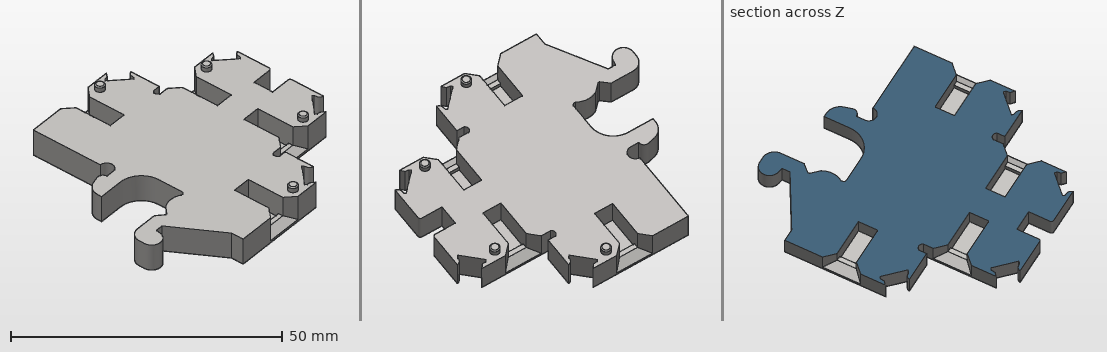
import cadquery as cq
import math


plate_thickness = 6.0
lower_half_width = 25.0
tier_rise = 17.0
upper_top = 41.5
lower_top = upper_top - tier_rise
upper_half_width = 13.5

top_slot_half_width = 2.2
top_slot_depth = 5.0
top_slot_rounding = 0.5

relief_width = 1.5
relief_straight_depth = 1.6
relief_depth = 2.1

lip_tip_inset = 3.25
lip_arc_mid = (3.5, -0.55)
lip_arc_end = (3.9, -0.85)
lip_root = (4.75, -1.0)
ramp_top = (5.0, -1.3)
ramp_bottom = (1.25, -5.05)
prong_base = (0.9, -4.7)
prong_bend = (0.8, -3.9)
prong_tip = -3.2

pin_radius = 1.0
pin_height = 1.25
pin_chamfer = 0.25
pin_inset = 2.0
pin_drop = 7.5

entry_drop = 12.5
funnel_depth = 2.0
funnel_half_width = 4.0
funnel_outer_floor = 0.5
slot_half_width = 2.0
sill_floor = 1.6
sill_end = 3.0
slot_floor = 0.75
upper_slot_length = 10.35
lower_slot_length = 10.2

recess_left = -3.0
recess_right = 8.1
recess_top = 3.5
recess_radius = 5.0
recess_corner_radius = 0.5

relief_hole_radius = 1.5
left_foot_outer = -6.0
left_foot_bottom = -7.0
heel_top = -1.75
heel_radius = 1.2
toe_radius = 3.0
foot_taper = math.radians(15)

right_foot_left = 8.0
latch_lead_bottom = 2.7
latch_bulge = (7.4, 0.5)
latch_bulge_end = (7.9, -1.6)
latch_groove_x = 9.45
latch_groove_top = -3.2
latch_groove_bottom = -3.55
right_foot_shoulder = -5.1
right_foot_bottom = -12.5
hook_corner_radius = 2.5
hook_radius = 2.1
hook_centre_x = 11.7
hook_neck_x = 11.0
hook_tilt = math.radians(10)
brace_bottom = -6.5
brace_angle = math.radians(30)


def on_circle(centre, radius, angle):
    """Point on a circle, with the angle in radians from +X."""
    return (centre[0] + radius * math.cos(angle), centre[1] + radius * math.sin(angle))


def both_sides(solid):
    """The solid together with its mirror image across X = 0."""
    return solid.union(solid.mirror("YZ"))


def trace_left_foot(outline):
    """Continue the outline from the base edge round the left foot to the rail recess."""
    hole_x = left_foot_outer - relief_hole_radius
    heel = (left_foot_outer, heel_top - heel_radius)
    heel_end = on_circle(heel, heel_radius, math.pi + foot_taper)
    toe_y = left_foot_bottom + toe_radius
    taper_end_y = toe_y - toe_radius * math.sin(foot_taper)
    taper_end_x = heel_end[0] + (heel_end[1] - taper_end_y) * math.tan(foot_taper)
    toe = (taper_end_x + toe_radius * math.cos(foot_taper), toe_y)
    return (
        outline.lineTo(hole_x - relief_hole_radius, 0)
        .threePointArc((hole_x, relief_hole_radius), (left_foot_outer, 0))
        .lineTo(left_foot_outer, heel_top)
        .threePointArc(on_circle(heel, heel_radius, math.radians(135)), heel_end)
        .lineTo(taper_end_x, taper_end_y)
        .threePointArc(on_circle(toe, toe_radius, math.radians(230)), (toe[0], left_foot_bottom))
        .lineTo(recess_left, left_foot_bottom)
    )


def trace_recess(outline):
    """Continue the outline through the rail recess."""
    centre = (recess_left + recess_radius, recess_top - recess_radius)
    corner = (recess_right - recess_corner_radius, recess_top - recess_corner_radius)
    return (
        outline.lineTo(recess_left, centre[1])
        .threePointArc(on_circle(centre, recess_radius, math.radians(135)), (centre[0], recess_top))
        .lineTo(corner[0], recess_top)
        .threePointArc(
            on_circle(corner, recess_corner_radius, math.radians(45)),
            (recess_right, corner[1]),
        )
    )


def trace_right_foot(outline):
    """Continue the outline round the latching foot, its hook and the sloping brace."""
    corner = (right_foot_left + hook_corner_radius, right_foot_bottom + hook_corner_radius)
    hook = (hook_centre_x, right_foot_bottom + hook_radius)
    hook_end = on_circle(hook, hook_radius, math.pi / 2 - hook_tilt)
    neck_y = hook_end[1] + (hook_end[0] - hook_neck_x) * math.tan(hook_tilt)
    brace_end_x = hook_neck_x - brace_bottom / math.tan(brace_angle)
    return (
        outline.lineTo(recess_right, latch_lead_bottom)
        .threePointArc(latch_bulge, latch_bulge_end)
        .lineTo(latch_groove_x, latch_groove_top)
        .lineTo(latch_groove_x, latch_groove_bottom)
        .lineTo(right_foot_left, right_foot_shoulder)
        .lineTo(right_foot_left, corner[1])
        .threePointArc(
            on_circle(corner, hook_corner_radius, math.radians(225)),
            (corner[0], right_foot_bottom),
        )
        .lineTo(hook[0], right_foot_bottom)
        .threePointArc(on_circle(hook, hook_radius, 0), hook_end)
        .lineTo(hook_neck_x, neck_y)
        .lineTo(hook_neck_x, brace_bottom)
        .lineTo(brace_end_x, 0)
    )


def make_plate():
    """Lower tier with its feet, joined to the narrower upper tier."""
    outline = cq.Workplane("XY").moveTo(-lower_half_width, 0)
    outline = trace_left_foot(outline)
    outline = trace_recess(outline)
    outline = trace_right_foot(outline)
    lower_tier = (
        outline.lineTo(lower_half_width, 0)
        .lineTo(lower_half_width, lower_top)
        .lineTo(-lower_half_width, lower_top)
        .close()
        .extrude(plate_thickness)
    )
    upper_tier = (
        cq.Workplane("XY")
        .center(0, lower_top)
        .rect(2 * upper_half_width, 2 * tier_rise)
        .extrude(plate_thickness)
    )
    return lower_tier.union(upper_tier)


def top_slot_cut():
    """Slot in the top edge whose mouth corners are rounded."""
    mouth_half_width = top_slot_half_width + top_slot_rounding
    round_mid = top_slot_rounding * (1 - math.sqrt(0.5))
    half_slot = (
        cq.Workplane("XY")
        .moveTo(0, upper_top)
        .lineTo(-mouth_half_width, upper_top)
        .threePointArc(
            (-top_slot_half_width - round_mid, upper_top - round_mid),
            (-top_slot_half_width, upper_top - top_slot_rounding),
        )
        .lineTo(-top_slot_half_width, upper_top - top_slot_depth)
        .lineTo(0, upper_top - top_slot_depth)
        .close()
        .extrude(plate_thickness)
    )
    return both_sides(half_slot)


def relief_cut():
    """Round-bottomed notches where the lower tier meets the upper tier."""
    inner_x = -upper_half_width
    outer_x = inner_x - relief_width
    straight_y = lower_top - relief_straight_depth
    notch = (
        cq.Workplane("XY")
        .moveTo(inner_x, lower_top)
        .lineTo(outer_x, lower_top)
        .lineTo(outer_x, straight_y)
        .threePointArc(
            (outer_x + relief_width / 2, lower_top - relief_depth),
            (inner_x, straight_y),
        )
        .close()
        .extrude(plate_thickness)
    )
    return both_sides(notch)


def shoulder_cut(half_width, top):
    """Sloping screw access at both top corners of a tier, with an overhanging lip above it."""
    cut = (
        cq.Workplane("XY", origin=(-half_width, top, 0))
        .lineTo(lip_tip_inset, 0)
        .threePointArc(lip_arc_mid, lip_arc_end)
        .lineTo(*lip_root)
        .lineTo(*ramp_top)
        .lineTo(*ramp_bottom)
        .lineTo(*prong_base)
        .lineTo(*prong_bend)
        .lineTo(0, prong_tip)
        .close()
        .extrude(plate_thickness)
    )
    return both_sides(cut)


def wire_entry_cut(half_width, top, slot_length):
    """Open-topped wire entries in both sides of a tier."""
    entry_y = top - entry_drop

    def slot(start, end, floor):
        return (
            cq.Workplane("XY", origin=(start - half_width, entry_y, floor))
            .box(
                end - start,
                2 * slot_half_width,
                plate_thickness - floor,
                centered=(False, True, False),
            )
        )

    def mouth(outline, half_opening, floor):
        return (
            outline.moveTo(-half_opening, floor)
            .lineTo(half_opening, floor)
            .lineTo(half_opening, plate_thickness)
            .lineTo(-half_opening, plate_thickness)
            .close()
        )

    funnel_plane = cq.Workplane("YZ", origin=(-half_width, entry_y, 0))
    outer_mouth = mouth(funnel_plane, funnel_half_width, funnel_outer_floor)
    both_mouths = mouth(outer_mouth.workplane(offset=funnel_depth), slot_half_width, sill_floor)
    funnel = both_mouths.loft(ruled=True)
    sill = slot(funnel_depth, sill_end, sill_floor)
    chamber = slot(sill_end, slot_length, slot_floor)
    return both_sides(funnel.union(sill).union(chamber))


def make_pins(half_width, top):
    """Chamfered locating pins on both sides of a tier."""
    pin = (
        cq.Workplane("XY", origin=(pin_inset - half_width, top - pin_drop, 0))
        .circle(pin_radius)
        .extrude(plate_thickness + pin_height)
        .faces(">Z")
        .chamfer(pin_chamfer)
    )
    return both_sides(pin)


tiers = (
    (lower_half_width, lower_top, lower_slot_length),
    (upper_half_width, upper_top, upper_slot_length),
)

result = make_plate().cut(top_slot_cut()).cut(relief_cut())
for tier_half_width, tier_top, tier_slot_length in tiers:
    result = result.cut(shoulder_cut(tier_half_width, tier_top))
    result = result.cut(wire_entry_cut(tier_half_width, tier_top, tier_slot_length))
    result = result.union(make_pins(tier_half_width, tier_top))